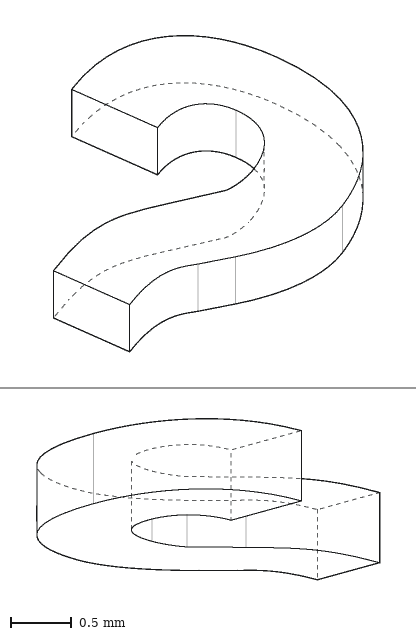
import cadquery as cq
import math

WIDTH = 2.55
LENGTH = 2.91
THICKNESS = 0.6

HOOK_END_Y = 1.76
HOOK_END_WIDTH = 0.818
OUTER_TOP_X = 1.265
OUTER_RIGHT_Y = 1.805
INNER_TOP = (1.28, 2.247)
INNER_RIGHT = (1.723, 1.775)

STEM_LEFT_X = 0.855
STEM_RIGHT_X = 1.58

OUTER_FLANK_TOP = (2.07, 0.882)
OUTER_FLANK_BOTTOM = (1.845, 0.66)
INNER_FLANK_BOTTOM = (1.305, 1.1)
INNER_FLANK_TOP = (1.635, 1.455)

OUTER_LEFT_PULLS = (0.818, 0.672)
OUTER_CREST_PULLS = (0.915, 0.602)
OUTER_TURN_PULLS = (0.385, 0.262)
STEM_RIGHT_PULLS = (0.115, 0.48)
STEM_LEFT_PULLS = (0.625, 0.422)
INNER_TURN_PULLS = (0.04, 0.145)
INNER_CREST_PULLS = (0.253, 0.332)
INNER_LEFT_PULLS = (0.265, 0.315)

UP = (0.0, 1.0)
DOWN = (0.0, -1.0)
LEFT = (-1.0, 0.0)
RIGHT = (1.0, 0.0)


def direction(start, end):
    """Unit vector from start to end."""
    run = end[0] - start[0]
    rise = end[1] - start[1]
    size = math.hypot(run, rise)
    return (run / size, rise / size)


def curve_to(outline, start, leaving, end, arriving, pulls):
    """Add a cubic curve; each pull is the handle length along an end tangent."""
    leaving_pull, arriving_pull = pulls
    first_handle = (
        start[0] + leaving_pull * leaving[0],
        start[1] + leaving_pull * leaving[1],
    )
    second_handle = (
        end[0] - arriving_pull * arriving[0],
        end[1] - arriving_pull * arriving[1],
    )
    return outline.bezier([start, first_handle, second_handle, end])


def hook_outline():
    """Closed outline, clockwise from the outer corner of the hook's end face."""
    hook_outer = (0.0, HOOK_END_Y)
    hook_inner = (HOOK_END_WIDTH, HOOK_END_Y)
    outer_top = (OUTER_TOP_X, LENGTH)
    outer_right = (WIDTH, OUTER_RIGHT_Y)
    stem_right = (STEM_RIGHT_X, 0.0)
    stem_left = (STEM_LEFT_X, 0.0)
    down_flank = direction(OUTER_FLANK_TOP, OUTER_FLANK_BOTTOM)
    up_flank = direction(INNER_FLANK_BOTTOM, INNER_FLANK_TOP)

    outline = cq.Workplane("XY").moveTo(*hook_outer)
    outline = curve_to(outline, hook_outer, UP, outer_top, RIGHT, OUTER_LEFT_PULLS)
    outline = curve_to(outline, outer_top, RIGHT, outer_right, DOWN, OUTER_CREST_PULLS)
    outline = curve_to(outline, outer_right, DOWN, OUTER_FLANK_TOP, down_flank, OUTER_TURN_PULLS)
    outline = outline.lineTo(*OUTER_FLANK_BOTTOM)
    outline = curve_to(outline, OUTER_FLANK_BOTTOM, down_flank, stem_right, DOWN, STEM_RIGHT_PULLS)
    outline = outline.lineTo(*stem_left)
    outline = curve_to(outline, stem_left, UP, INNER_FLANK_BOTTOM, up_flank, STEM_LEFT_PULLS)
    outline = outline.lineTo(*INNER_FLANK_TOP)
    outline = curve_to(outline, INNER_FLANK_TOP, up_flank, INNER_RIGHT, UP, INNER_TURN_PULLS)
    outline = curve_to(outline, INNER_RIGHT, UP, INNER_TOP, LEFT, INNER_CREST_PULLS)
    outline = curve_to(outline, INNER_TOP, LEFT, hook_inner, DOWN, INNER_LEFT_PULLS)
    return outline.close()


result = hook_outline().extrude(THICKNESS)